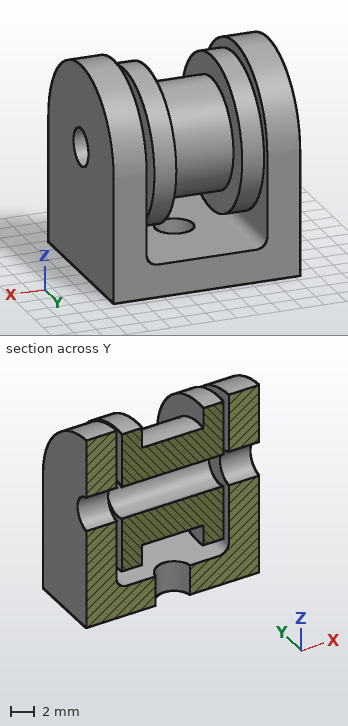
import cadquery as cq

bracket_width = 17.0
bracket_depth = 15.0
bracket_height = 19.0
wall = 3.0
inner_fillet = 1.0
cheek_hole_diameter = 3.4
floor_hole_diameter = 3.4

roller_length = 10.0
flange_thickness = 2.0
flange_diameter = 14.0
spool_diameter = 10.0
bore_diameter = 3.5
roller_offset_y = 1.0

cheek_radius = bracket_depth / 2
axis_height = bracket_height - cheek_radius
slot_width = bracket_width - 2 * wall
slot_height = bracket_height - wall


def x_cylinder(diameter, length, y=0):
    """Cylinder along X, centred on X = 0 at the axle height."""
    return (
        cq.Workplane("YZ", origin=(-length / 2, y, axis_height))
        .circle(diameter / 2)
        .extrude(length)
    )


def make_bracket():
    body = (
        cq.Workplane("YZ", origin=(-bracket_width / 2, 0, 0))
        .moveTo(-cheek_radius, 0)
        .lineTo(cheek_radius, 0)
        .lineTo(cheek_radius, axis_height)
        .threePointArc((0, bracket_height), (-cheek_radius, axis_height))
        .close()
        .extrude(bracket_width)
    )
    slot = (
        cq.Workplane("XY", origin=(0, 0, wall))
        .box(slot_width, bracket_depth, slot_height, centered=(True, True, False))
        .faces("<Z")
        .edges("|Y")
        .fillet(inner_fillet)
    )
    cheek_holes = x_cylinder(cheek_hole_diameter, bracket_width)
    floor_hole = cq.Workplane("XY").circle(floor_hole_diameter / 2).extrude(wall)
    return body.cut(slot).cut(cheek_holes).cut(floor_hole)


def make_roller():
    roller = x_cylinder(flange_diameter, roller_length, roller_offset_y)
    groove_length = roller_length - 2 * flange_thickness
    groove = x_cylinder(flange_diameter, groove_length, roller_offset_y).cut(
        x_cylinder(spool_diameter, groove_length, roller_offset_y)
    )
    bore = x_cylinder(bore_diameter, roller_length, roller_offset_y)
    return roller.cut(groove).cut(bore)


bracket = make_bracket()
roller = make_roller()

result = cq.Compound.makeCompound([bracket.val(), roller.val()])